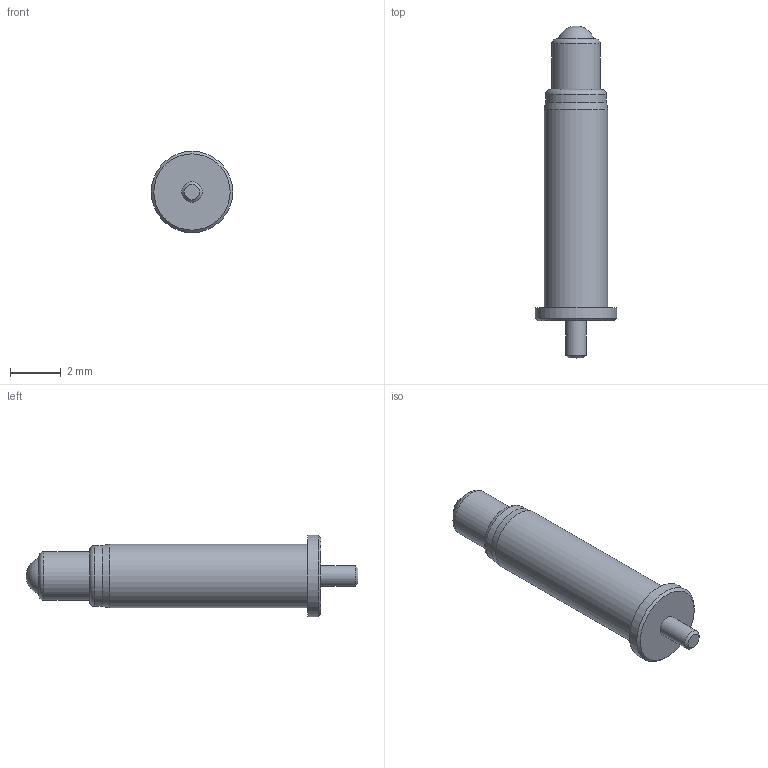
import cadquery as cq
import math


tail_radius = 0.4
tail_length = 1.47
tail_chamfer = 0.1

flange_radius = 1.6
flange_thickness = 0.5
flange_chamfer = 0.1

barrel_radius = 1.25
barrel_end = 9.1
mouth_radius = 1.2
mouth_length = 0.5
mouth_taper_length = 0.3
mouth_fillet = 0.2

plunger_radius = 0.95
plunger_fillet = 0.2
dome_radius = 0.75
dome_height = 0.5
overall_length = 13.07

tip_y = overall_length - tail_length
dome_center_y = tip_y - dome_radius
shoulder_y = tip_y - dome_height
dome_base_radius = math.sqrt(dome_radius**2 - (shoulder_y - dome_center_y) ** 2)
mouth_start_y = barrel_end - mouth_length
taper_start_y = mouth_start_y - mouth_taper_length

DIAGONAL = math.sqrt(0.5)


def outer_round(sketch, radius, end_y, fillet):
    """Round the convex corner where a cylinder of this radius meets its end face."""
    inset = fillet * (1 - DIAGONAL)
    return (
        sketch.lineTo(radius, end_y - fillet)
        .threePointArc((radius - inset, end_y - inset), (radius - fillet, end_y))
    )


def tail_and_flange(sketch):
    """Chamfered tail pin followed by the flange, ending on the flange's inner face."""
    return (
        sketch.moveTo(0, -tail_length)
        .lineTo(tail_radius - tail_chamfer, -tail_length)
        .lineTo(tail_radius, tail_chamfer - tail_length)
        .lineTo(tail_radius, 0)
        .lineTo(flange_radius - flange_chamfer, 0)
        .lineTo(flange_radius, flange_chamfer)
        .lineTo(flange_radius, flange_thickness)
        .lineTo(barrel_radius, flange_thickness)
    )


def barrel(sketch):
    """Barrel side, shallow taper and rounded mouth, ending at the plunger."""
    sketch = sketch.lineTo(barrel_radius, taper_start_y).lineTo(mouth_radius, mouth_start_y)
    sketch = outer_round(sketch, mouth_radius, barrel_end, mouth_fillet)
    return sketch.lineTo(plunger_radius, barrel_end)


def plunger(sketch):
    """Plunger side, rounded shoulder and spherical tip, ending on the axis."""
    sketch = outer_round(sketch, plunger_radius, shoulder_y, plunger_fillet)
    half_angle = math.asin(dome_base_radius / dome_radius) / 2
    dome_middle = (
        dome_radius * math.sin(half_angle),
        dome_center_y + dome_radius * math.cos(half_angle),
    )
    return sketch.lineTo(dome_base_radius, shoulder_y).threePointArc(dome_middle, (0, tip_y))


profile = plunger(barrel(tail_and_flange(cq.Workplane("XY")))).close()
result = profile.revolve(360, (0, 0, 0), (0, 1, 0))